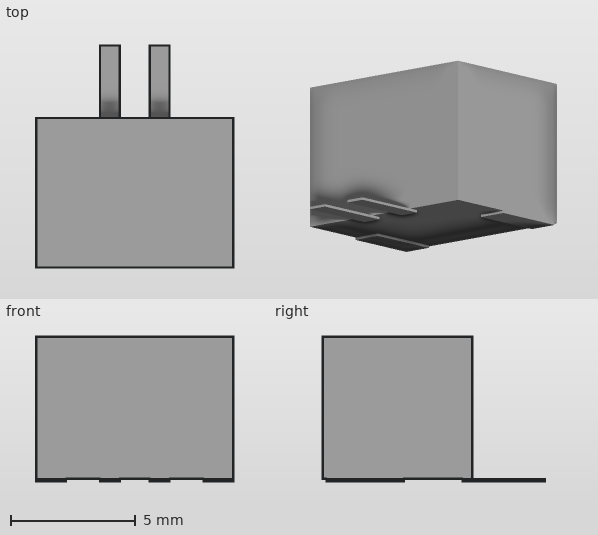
import cadquery as cq

housing_width = 7.9
housing_depth = 6.0
overall_height = 5.8

sheet_thickness = 0.1
housing_height = overall_height - sheet_thickness

contact_pitch = 2.0
contact_width = 0.8
contact_reach = 2.9
contact_overlap = 0.4

tab_width = 1.2
tab_length = 3.1
tab_front_inset = 0.15

front_y = -housing_depth / 2
rear_y = housing_depth / 2


def make_housing():
    """Plain block standing on top of the metal parts."""
    return cq.Workplane("XY").workplane(offset=sheet_thickness).box(
        housing_width, housing_depth, housing_height, centered=(True, True, False)
    )


def make_strip(center_x, start_y, width, length):
    """Flat metal strip on the base plane, running toward +Y from start_y."""
    return cq.Workplane("XY").center(center_x, start_y).box(
        width, length, sheet_thickness, centered=(True, False, False)
    )


def make_contact(side):
    """Contact on the left (-1) or right (+1) of the centre line."""
    return make_strip(
        side * contact_pitch / 2,
        rear_y - contact_overlap,
        contact_width,
        contact_overlap + contact_reach,
    )


def make_solder_tab(side):
    """Solder tab flush with the left (-1) or right (+1) face of the housing."""
    return make_strip(
        side * (housing_width - tab_width) / 2,
        front_y + tab_front_inset,
        tab_width,
        tab_length,
    )


sides = (-1, 1)
housing = make_housing()
contacts = [make_contact(side) for side in sides]
solder_tabs = [make_solder_tab(side) for side in sides]

result = cq.Compound.makeCompound(
    [housing.val()]
    + [contact.val() for contact in contacts]
    + [tab.val() for tab in solder_tabs]
)